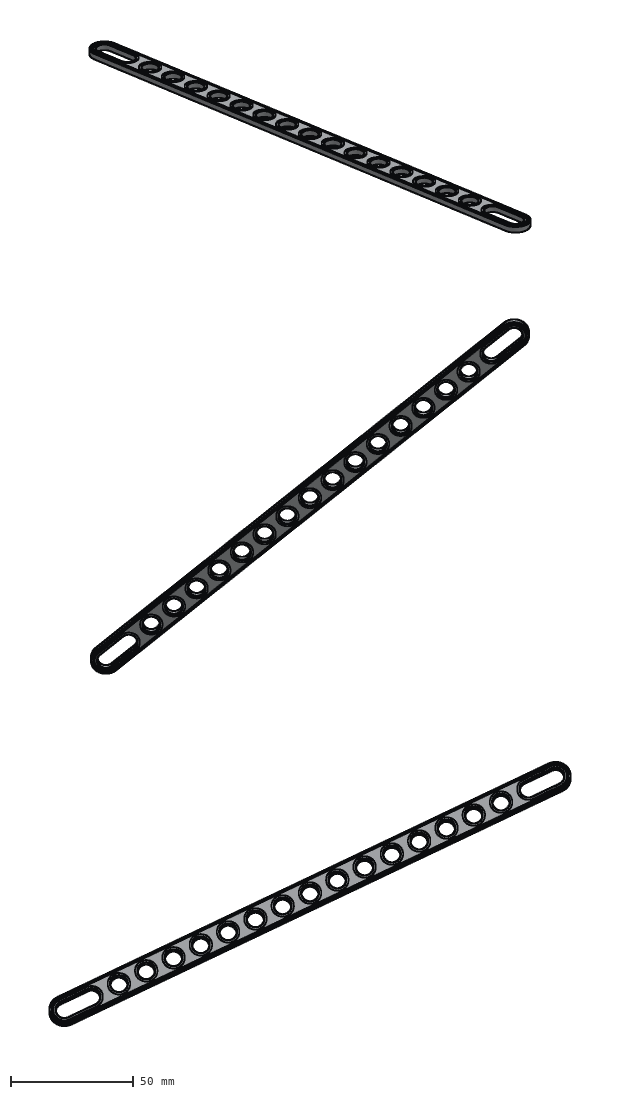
import cadquery as cq

length = 237.5
cell_count = 19
pitch = length / cell_count
width = pitch
thickness = 3.0
edge_chamfer = 0.3

hole_diameter = 7.0
collar_diameter = 9.3
rim_width = 1.0
recess_depth = 0.2

cells_per_slot = 2
slot_travel = (cells_per_slot - 1) * pitch
slot_spacing = length - cells_per_slot * pitch
hole_count = cell_count - 2 * cells_per_slot


def make_openings(diameter, height):
    """Solids shaped like all the round holes and end slots, standing on Z = 0."""
    rounds = (
        cq.Workplane("XY")
        .rarray(pitch, pitch, hole_count, 1)
        .circle(diameter / 2)
        .extrude(height)
    )
    slots = (
        cq.Workplane("XY")
        .rarray(slot_spacing, pitch, 2, 1)
        .slot2D(slot_travel + diameter, diameter)
        .extrude(height)
    )
    return rounds.union(slots)


def make_bar():
    """Round-ended bar with its openings, all edges of both flat faces chamfered."""
    blank = cq.Workplane("XY").slot2D(length, width).extrude(thickness)
    bar = blank.cut(make_openings(hole_diameter, thickness))
    return bar.faces("<Z or >Z").edges().chamfer(edge_chamfer)


def make_recess():
    """Shallow cutter that leaves the outer rim and a collar around every opening."""
    floor_length = length - 2 * rim_width
    floor_width = width - 2 * rim_width
    floor = cq.Workplane("XY").slot2D(floor_length, floor_width).extrude(recess_depth)
    return floor.cut(make_openings(collar_diameter, recess_depth))


bar = make_bar()
recess = make_recess()
for recess_base in (0, thickness - recess_depth):
    bar = bar.cut(recess.translate((0, 0, recess_base)))

result = bar.translate((0, 0, -thickness / 2))